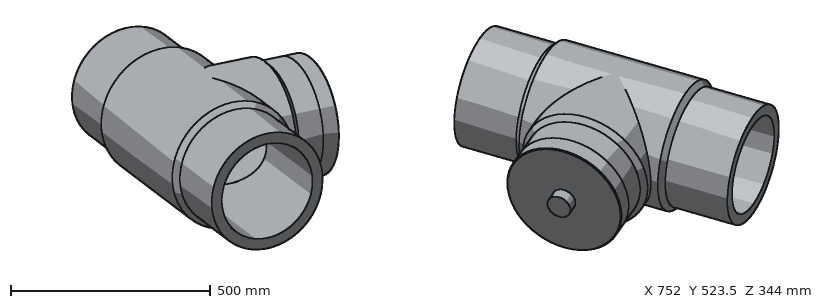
import cadquery as cq

run_length = 752.0
pipe_diameter = 315.0
hub_diameter = 344.0
bore_diameter = 257.0
hub_reach = 205.0
branch_length = 274.5
shoulder = (hub_diameter - pipe_diameter) / 2

cap_face = 320.0
cap_chamfer = 2.0
stud_diameter = 63.0
stud_end = 523.5 - hub_diameter / 2


def rod_x(diameter, length):
    """Cylinder centred on the origin, along X."""
    return cq.Workplane("YZ").circle(diameter / 2).extrude(length / 2, both=True)


def rod_y(diameter, start, end):
    """Cylinder along +Y between two distances from the tee centre."""
    return cq.Workplane("XZ", origin=(0, start, 0)).circle(diameter / 2).extrude(start - end)


def make_tee():
    run_hub = rod_x(hub_diameter, 2 * hub_reach).faces("<X or >X").chamfer(shoulder)
    branch_hub = rod_y(hub_diameter, 0, hub_reach).faces(">Y").chamfer(shoulder)
    mitre = (
        cq.Workplane("XY")
        .polyline([(0, 0), (hub_reach, hub_reach), (-hub_reach, hub_reach)])
        .close()
        .extrude(hub_diameter, both=True)
    )
    outside = (
        run_hub
        .union(branch_hub.intersect(mitre))
        .union(rod_x(pipe_diameter, run_length))
        .union(rod_y(pipe_diameter, 0, branch_length))
    )
    bores = rod_x(bore_diameter, run_length).union(rod_y(bore_diameter, 0, branch_length))
    return outside.cut(bores)


def make_cap():
    disc = rod_y(pipe_diameter, branch_length, cap_face).faces(">Y").edges().chamfer(cap_chamfer)
    return disc.union(rod_y(stud_diameter, cap_face, stud_end))


tee = make_tee()
cap = make_cap()

result = cq.Compound.makeCompound([tee.val(), cap.val()])